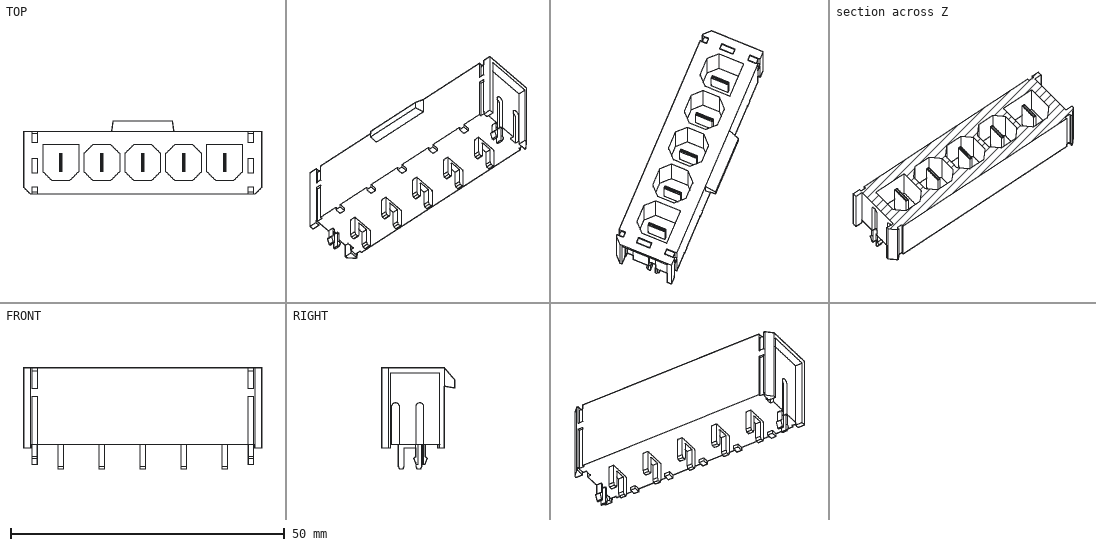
import cadquery as cq


length = 43.55
depth = 11.45
top = 14.72
floor = 0.65
corner_chamfer = 1.2

end_wall = 1.45
recess_back_margin = 0.85
recess_front_margin = 1.65
recess_top_margin = 0.95
groove_width = 1.45
groove_depth = 0.7
groove_top = 8.3
groove_offsets = (4.5, 8.95)

slot_inset = 1.52
slot_width = 1.0
slot_depth = 0.4
pocket_depth = 0.55
front_pocket_length = 1.25
back_pocket_length = 2.0
window_length = 2.6
window_offset = 6.27
bridge_top = 10.9
bridge_bottom = 9.5

cavity_count = 5
pitch = 7.5
cavity_size = 6.58
cavity_chamfer = 1.65
cavity_offset = 5.7
cavity_depth = 11.33

blade_thickness = 0.52
blade_length = 3.3
blade_below_top = 5.23
blade_tip_chamfer = 0.17
tail_width = 1.05
tail_depth = 1.1
tail_end = -3.85
tail_tip_height = 0.52
tail_tip_inset = 0.2
tail_offsets = (4.65, 7.9)

back_rib_length = 1.2

lock_offset = 4.35
lock_half_width = 0.85
lock_half_gap = 0.5
lock_half_tip = 0.8
barb_half_width = 1.25
barb_top = -1.5
barb_point = -1.87
lock_end = -3.0

latch_reach = 1.9
latch_base_width = 11.4
latch_tip_width = 10.9
latch_tip_top = 2.2
latch_tip_bottom = 3.75
latch_base_bottom = 3.4

half_length = length / 2
cavity_y = depth - cavity_offset
slot_x = half_length - slot_inset - slot_width / 2
cavity_floor = top - cavity_depth
row_xs = [(i - (cavity_count - 1) / 2) * pitch for i in range(cavity_count)]


def block(x_range, y_range, z_range):
    """Axis-aligned box between pairs of limits."""
    size = [high - low for low, high in (x_range, y_range, z_range)]
    corner = (x_range[0], y_range[0], z_range[0])
    return cq.Workplane("XY").box(*size, centered=False).translate(corner)


def span(center, width):
    return (center - width / 2, center + width / 2)


def extrude_along_x(points, center_x, width):
    """Extrude a (Y, Z) outline symmetrically about center_x."""
    outline = cq.Workplane("YZ").polyline(points).close()
    return outline.extrude(width / 2, both=True).translate((center_x, 0, 0))


def make_shell():
    """Plain housing with chamfered front corners, raised off the board between its ends."""
    shell = block((-half_length, half_length), (0, depth), (0, top))
    shell = shell.faces("<Y").edges("|Z").chamfer(corner_chamfer)
    inner_half = half_length - end_wall
    return shell.cut(block((-inner_half, inner_half), (0, depth), (0, floor)))


def make_end_recess():
    """Recess in the -X end, open at the bottom, with two round-topped grooves in its wall."""
    wall_x = -half_length + end_wall
    recess = block(
        (-half_length, wall_x),
        (recess_front_margin, depth - recess_back_margin),
        (0, top - recess_top_margin),
    )
    radius = groove_width / 2
    for offset in groove_offsets:
        y = depth - offset
        groove = (
            cq.Workplane("YZ", origin=(wall_x, y, 0))
            .moveTo(-radius, 0)
            .lineTo(-radius, groove_top - radius)
            .threePointArc((0, groove_top), (radius, groove_top - radius))
            .lineTo(radius, 0)
            .close()
            .extrude(groove_depth)
        )
        recess = recess.union(groove)
    return recess


def make_clip_slots():
    """Shallow top pockets and bridged face slots beside the -X end wall."""
    xs = span(-slot_x, slot_width)
    pocket_zs = (top - pocket_depth, top)
    slots = block(xs, span(depth - window_offset, window_length), pocket_zs)
    slots = slots.union(block(xs, (0, front_pocket_length), pocket_zs))
    slots = slots.union(block(xs, (depth - back_pocket_length, depth), pocket_zs))
    for face_ys in ((0, slot_depth), (depth - slot_depth, depth)):
        slots = slots.union(block(xs, face_ys, (bridge_top, top)))
        slots = slots.union(block(xs, face_ys, (floor, bridge_bottom)))
    return slots


def make_board_lock():
    """Two barbed legs under the -X end."""
    legs = cq.Workplane("XY")
    lock_y = depth - lock_offset
    for side in (-1, 1):
        profile = [
            (lock_half_gap, floor),
            (lock_half_width, floor),
            (lock_half_width, barb_top),
            (barb_half_width, barb_point),
            (lock_half_tip, lock_end),
            (lock_half_gap, lock_end),
        ]
        points = [(lock_y + side * y, z) for y, z in profile]
        legs = legs.union(extrude_along_x(points, -slot_x, slot_width))
    return legs


def make_cavity(x, is_end):
    """Mating cavity: octagonal, but with square back corners at the row's ends."""
    cavity = block(span(x, cavity_size), span(cavity_y, cavity_size), (cavity_floor, top))
    chamfered = cavity.faces("<Y") if is_end else cavity
    return cavity.newObject(chamfered.edges("|Z").vals()).chamfer(cavity_chamfer)


def make_contact(x):
    """Blade in the cavity and two tapered solder tails below the floor."""
    contact = block(
        span(x, blade_thickness),
        span(cavity_y, blade_length),
        (cavity_floor, top - blade_below_top),
    )
    contact = contact.faces(">Z").edges().chamfer(blade_tip_chamfer)
    half_tail = tail_depth / 2
    half_tip = half_tail - tail_tip_inset
    shoulder = tail_end + tail_tip_height
    for y in [depth - offset for offset in tail_offsets]:
        points = [
            (y - half_tail, floor),
            (y - half_tail, shoulder),
            (y - half_tip, tail_end),
            (y + half_tip, tail_end),
            (y + half_tail, shoulder),
            (y + half_tail, floor),
        ]
        contact = contact.union(extrude_along_x(points, x, tail_width))
    return contact


def make_standoff_ribs(x):
    """Rib joining the two tails of a contact, and a short rib at the back edge."""
    back_tail_y, front_tail_y = [depth - offset for offset in tail_offsets]
    xs = span(x, tail_width)
    rib_ys = (front_tail_y - tail_depth / 2, back_tail_y + tail_depth / 2)
    tail_rib = block(xs, rib_ys, (0, floor))
    return tail_rib.union(block(xs, (depth - back_rib_length, depth), (0, floor)))


def make_latch():
    """Wedge latch on the back face, narrowing towards its tip."""
    points = [
        (depth, top),
        (depth + latch_reach, top - latch_tip_top),
        (depth + latch_reach, top - latch_tip_bottom),
        (depth, top - latch_base_bottom),
    ]
    wedge = extrude_along_x(points, 0, latch_base_width)
    half_base = latch_base_width / 2
    half_tip = latch_tip_width / 2
    taper = (
        cq.Workplane("XY")
        .polyline(
            [
                (-half_base, depth),
                (half_base, depth),
                (half_tip, depth + latch_reach),
                (-half_tip, depth + latch_reach),
            ]
        )
        .close()
        .extrude(top)
    )
    return wedge.intersect(taper)


def both_ends(shape):
    """The shape together with its mirror image at the other end."""
    return shape.union(shape.mirror("YZ"))


result = make_shell()
result = result.cut(both_ends(make_end_recess()))
result = result.cut(both_ends(make_clip_slots()))
result = result.union(both_ends(make_board_lock()))
for x in row_xs:
    result = result.cut(make_cavity(x, is_end=x in (row_xs[0], row_xs[-1])))
    result = result.union(make_contact(x))
    result = result.union(make_standoff_ribs(x))
result = result.union(make_latch())